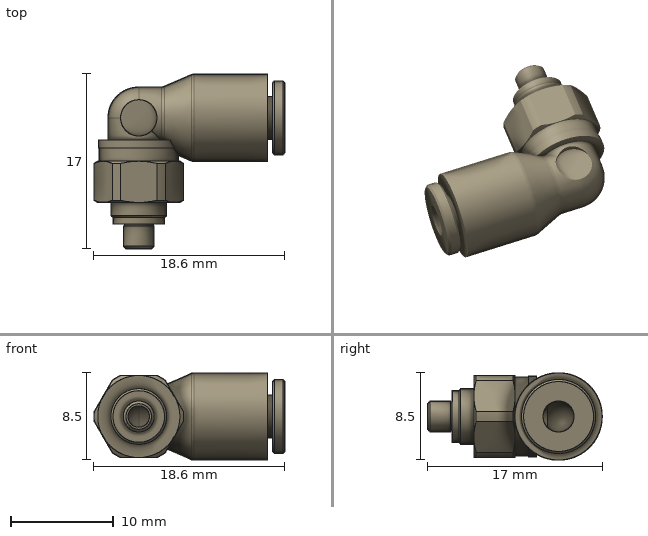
import cadquery as cq
import math


neck_radius = 3.0
stem_bore_radius = 1.04
tube_bore_radius = 1.5
pad_radius = 1.76

cone_start = 2.35
cone_end = 5.23
body_end = 12.5
body_radius = 4.25
cone_blend_radius = 0.65

button_start = 12.98
button_end = 14.2
button_radius = 3.6
button_stem_radius = 2.1
button_chamfer = 0.2

collar_top = -2.13
collar_step = -2.91
collar_radius = 3.93
collar_skirt_radius = 3.85

hex_sides = 6
hex_top = -4.21
hex_bottom = -8.22
hex_flat_radius = 3.99
hex_corner_radius = 4.35
hex_chamfer_angle = 30

seat_bottom = -9.5
seat_radius = 2.7
ring_top = -9.68
ring_bottom = -10.33
ring_radius = 2.5
undercut_bottom = -10.5
undercut_radius = 1.41
stem_bottom = -12.73
stem_radius = 1.5
stem_chamfer = 0.26


def turned_about_y(profile):
    """Revolve (radius, y) points, closed through the axis, about Y."""
    return cq.Workplane("XY").polyline(profile).close().revolve(360, (0, 0), (0, 1))


def turned_about_x(profile):
    """Revolve (x, radius) points, closed through the axis, about X."""
    return cq.Workplane("XY").polyline(profile).close().revolve(360, (0, 0), (1, 0))


def tube_socket():
    socket = turned_about_x([
        (0, 0),
        (0, neck_radius),
        (cone_start, neck_radius),
        (cone_end, body_radius),
        (body_end, body_radius),
        (body_end, 0),
    ])
    margin = 0.02
    reach = body_radius + margin
    for station in (cone_start, cone_end):
        rim = cq.selectors.BoxSelector(
            (station - margin, -reach, -reach),
            (station + margin, reach, reach),
        )
        socket = socket.edges(rim).fillet(cone_blend_radius)
    return socket


def release_button():
    chamfered_radius = button_radius - button_chamfer
    return turned_about_x([
        (body_end, 0),
        (body_end, button_stem_radius),
        (button_start, button_stem_radius),
        (button_start, chamfered_radius),
        (button_start + button_chamfer, button_radius),
        (button_end - button_chamfer, button_radius),
        (button_end, chamfered_radius),
        (button_end, 0),
    ])


def neck_and_collar():
    return turned_about_y([
        (0, 0),
        (neck_radius, 0),
        (neck_radius, collar_top),
        (collar_radius, collar_top),
        (collar_radius, collar_step),
        (collar_skirt_radius, collar_step),
        (collar_skirt_radius, hex_top),
        (0, hex_top),
    ])


def hexagon():
    """Hexagon with flats facing +Z and -Z, turned corners and chamfered ends."""
    across_corners = 2 * hex_flat_radius / math.cos(math.pi / hex_sides)
    prism = (
        cq.Workplane("XZ", origin=(0, hex_top, 0))
        .polygon(hex_sides, across_corners)
        .extrude(hex_top - hex_bottom)
    )
    chamfer_width = hex_corner_radius - hex_flat_radius
    chamfer_height = chamfer_width * math.tan(math.radians(hex_chamfer_angle))
    envelope = turned_about_y([
        (0, hex_top),
        (hex_flat_radius, hex_top),
        (hex_corner_radius, hex_top - chamfer_height),
        (hex_corner_radius, hex_bottom + chamfer_height),
        (hex_flat_radius, hex_bottom),
        (0, hex_bottom),
    ])
    return prism.intersect(envelope)


def seat_and_stem():
    return turned_about_y([
        (0, hex_bottom),
        (seat_radius, hex_bottom),
        (seat_radius, seat_bottom),
        (ring_radius, ring_top),
        (ring_radius, ring_bottom),
        (undercut_radius, ring_bottom),
        (undercut_radius, undercut_bottom),
        (stem_radius, undercut_bottom),
        (stem_radius, stem_bottom + stem_chamfer),
        (stem_radius - stem_chamfer, stem_bottom),
        (0, stem_bottom),
    ])


def bore():
    """Tube bore with a spherical end, met by the narrower stem bore; both are open outside."""
    stem_bore = cq.Workplane("XZ").circle(stem_bore_radius).extrude(-stem_bottom)
    tube_bore = cq.Workplane("YZ").circle(tube_bore_radius).extrude(button_end)
    corner = cq.Workplane("XY").sphere(tube_bore_radius)
    return stem_bore.union(tube_bore).union(corner)


def flat_pad():
    """Round cutter whose floor meets the elbow sphere along the pad's rim."""
    floor = math.sqrt(neck_radius**2 - pad_radius**2)
    return cq.Workplane("XY", origin=(0, 0, floor)).circle(pad_radius).extrude(neck_radius)


elbow_corner = cq.Workplane("XY").sphere(neck_radius)
elbow = neck_and_collar().union(tube_socket()).union(elbow_corner).cut(flat_pad())
result = elbow.union(release_button()).union(hexagon()).union(seat_and_stem()).cut(bore())